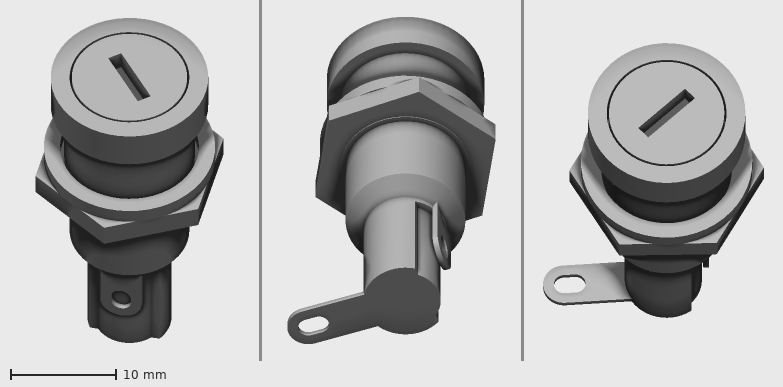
import cadquery as cq
import math

total_height = 34.5
head_height = 4.0
washer_top = 24.5
washer_thickness = 1.52
nut_height = 2.3
neck_bottom = 20.55
cone_top = 12.45
cone_bottom = 11.0
head_bottom = total_height - head_height
nut_top = washer_top - washer_thickness

head_radius = 7.5
neck_radius = 6.2
barrel_radius = 5.7
stem_radius = 4.0

relief_height = 10.45
relief_distance = 2.15
core_radius = 3.35

seat_radius = 5.7
carrier_radius = 5.5
driver_slot_length = 6.1
driver_slot_width = 1.38
driver_slot_depth = 2.0

washer_radius = 8.15
washer_bore_radius = 6.6
nut_across_flats = 16.0
nut_rotation = 17.5

tag_direction = 140.5
tag_width = 4.0
tag_thickness = 0.52
bottom_tag_hole_length = 3.0
side_tag_hole_length = 2.5
tag_hole_width = 1.93
bottom_tag_reach = 9.75
side_tag_distance = 3.9
side_tag_end_height = 6.52


def cylinder(radius, bottom, top):
    return cq.Workplane("XY").workplane(offset=bottom).circle(radius).extrude(top - bottom)


def make_tag(length, hole_length):
    """Flat tag along +X from the origin; length runs to the centre of its round end."""
    end_radius = tag_width / 2
    hole_center = length - (hole_length - tag_hole_width) / 2
    return (
        cq.Workplane("XY")
        .moveTo(0, -end_radius)
        .lineTo(length, -end_radius)
        .threePointArc((length + end_radius, 0), (length, end_radius))
        .lineTo(0, end_radius)
        .close()
        .extrude(tag_thickness)
        .cut(
            cq.Workplane("XY")
            .center(hole_center, 0)
            .slot2D(hole_length, tag_hole_width)
            .extrude(tag_thickness)
        )
    )


def make_stem_relief():
    """Stem material beyond a flat, kept clear of the round core."""
    relief_depth = stem_radius - relief_distance
    outside_flat = (
        cq.Workplane("XY")
        .box(relief_depth, 2 * stem_radius, relief_height, centered=(False, True, False))
        .translate((-stem_radius, 0, 0))
    )
    return outside_flat.cut(cylinder(core_radius, 0, relief_height))


def make_housing():
    profile = [
        (0, 0),
        (stem_radius, 0),
        (stem_radius, cone_bottom),
        (barrel_radius, cone_top),
        (barrel_radius, neck_bottom),
        (neck_radius, neck_bottom),
        (neck_radius, head_bottom),
        (head_radius, head_bottom),
        (head_radius, total_height),
        (0, total_height),
    ]
    body = cq.Workplane("XZ").polyline(profile).close().revolve(360, (0, 0), (0, 1))
    body = body.cut(cylinder(seat_radius, head_bottom, total_height))
    body = body.cut(make_stem_relief().rotate((0, 0, 0), (0, 0, 1), tag_direction))

    bottom_tag = make_tag(bottom_tag_reach, bottom_tag_hole_length)
    side_tag = (
        make_tag(cone_top - side_tag_end_height, side_tag_hole_length)
        .rotate((0, 0, 0), (0, 1, 0), 90)
        .translate((-side_tag_distance, 0, cone_top))
    )
    for tag in (bottom_tag, side_tag):
        body = body.union(tag.rotate((0, 0, 0), (0, 0, 1), tag_direction))
    return body


def make_carrier():
    """Round fuse carrier with a screwdriver slot, standing on the seat floor."""
    slot = (
        cq.Workplane("XY")
        .workplane(offset=total_height - driver_slot_depth)
        .rect(driver_slot_length, driver_slot_width)
        .extrude(driver_slot_depth)
    )
    return cylinder(carrier_radius, head_bottom, total_height).cut(slot)


def make_washer():
    ring = cylinder(washer_radius, nut_top, washer_top)
    return ring.cut(cylinder(washer_bore_radius, nut_top, washer_top))


def make_nut():
    across_corners = nut_across_flats / math.cos(math.radians(30))
    nut_bottom = nut_top - nut_height
    hexagon = (
        cq.Workplane("XY")
        .workplane(offset=nut_bottom)
        .polygon(6, across_corners)
        .extrude(nut_height)
        .rotate((0, 0, 0), (0, 0, 1), nut_rotation)
    )
    return hexagon.cut(cylinder(neck_radius, nut_bottom, nut_top))


housing = make_housing()
carrier = make_carrier()
washer = make_washer()
nut = make_nut()

result = cq.Compound.makeCompound(
    [body.solids().val() for body in (housing, carrier, washer, nut)]
)